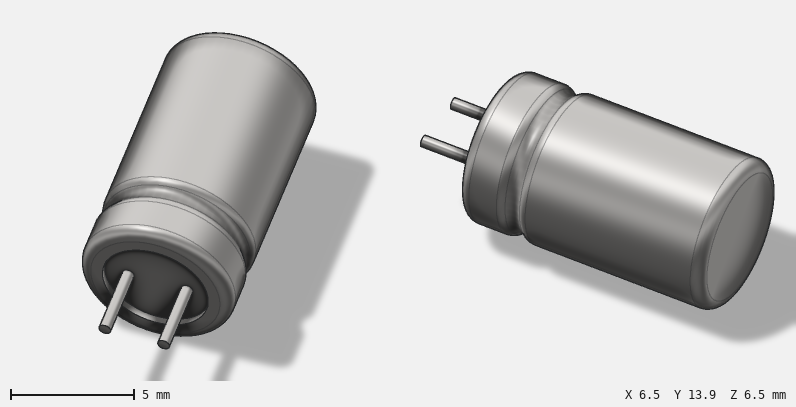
import cadquery as cq
import math

total_length = 13.89
can_diameter = 6.5
lead_length = 2.7
lead_diameter = 0.5
lead_spacing = 2.5
edge_radius = 0.5
recess_diameter = 4.5
recess_depth = 0.3
groove_depth = 0.25
groove_arc_radius = 0.5
groove_offset = 2.43

can_radius = can_diameter / 2
can_length = total_length - lead_length


def make_can():
    """Filleted cylinder with its rim at Y = 0."""
    can = cq.Workplane("XZ").circle(can_radius).extrude(-can_length)
    return can.edges().fillet(edge_radius)


def make_groove():
    """Rolled groove: a concave arc blended into the wall by two convex arcs."""
    blend_angle = math.acos(1 - groove_depth / (2 * groove_arc_radius))
    blend_length = groove_arc_radius * math.sin(blend_angle)
    mid_rise = groove_arc_radius * (1 - math.cos(blend_angle / 2))
    mid_length = groove_arc_radius * math.sin(blend_angle / 2)
    half_width = 2 * blend_length
    neck_radius = can_radius - groove_depth
    joint_radius = can_radius - groove_depth / 2
    shoulder_mid = (can_radius - mid_rise, half_width - mid_length)
    return (
        cq.Workplane("XY", origin=(0, groove_offset, 0))
        .moveTo(can_radius, -half_width)
        .threePointArc((shoulder_mid[0], -shoulder_mid[1]), (joint_radius, -blend_length))
        .threePointArc((neck_radius, 0), (joint_radius, blend_length))
        .threePointArc(shoulder_mid, (can_radius, half_width))
        .lineTo(can_radius + groove_depth, half_width)
        .lineTo(can_radius + groove_depth, -half_width)
        .close()
        .revolve(360, (0, -groove_offset, 0), (0, 0.14 - groove_offset, 0))
    )


def make_recess():
    """Shallow round recess inside the rim."""
    return cq.Workplane("XZ").circle(recess_diameter / 2).extrude(-recess_depth)


def make_leads():
    """Two round leads standing on the recess floor."""
    return (
        cq.Workplane("XZ", origin=(0, recess_depth, 0))
        .pushPoints([(-lead_spacing / 2, 0), (lead_spacing / 2, 0)])
        .circle(lead_diameter / 2)
        .extrude(lead_length + recess_depth)
    )


result = make_can().cut(make_groove()).cut(make_recess()).union(make_leads())